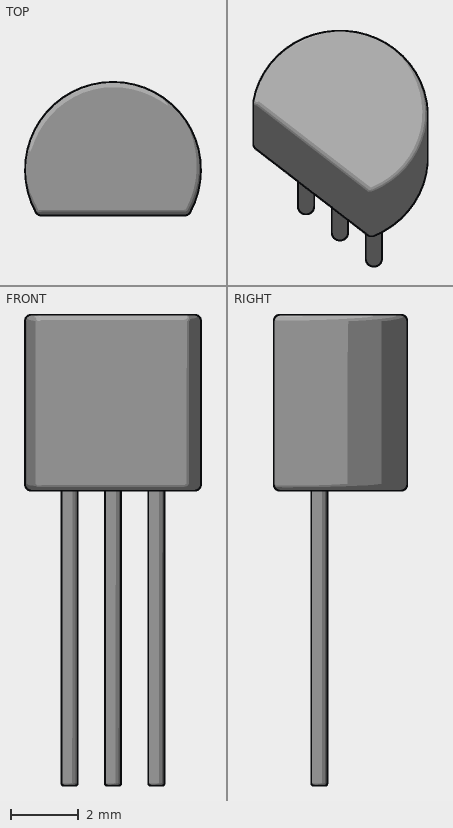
import cadquery as cq
import math

total_height = 13.9
body_height = 5.2
body_radius = 2.6
flat_offset = 1.35
body_fillet = 0.2

pin_diameter = 0.49
pin_pitch = 1.28
pin_count = 3
pin_tip_fillet = 0.08

pin_length = total_height - body_height


def make_body():
    """D-shaped prism with every edge rounded."""
    half_flat = math.sqrt(body_radius**2 - flat_offset**2)
    return (
        cq.Workplane("XY", origin=(0, 0, pin_length))
        .moveTo(half_flat, -flat_offset)
        .threePointArc((0, body_radius), (-half_flat, -flat_offset))
        .close()
        .extrude(body_height)
        .edges()
        .fillet(body_fillet)
    )


def make_pin(x):
    """Round pin with a rounded tip, ending at the underside of the body."""
    return (
        cq.Workplane("XY", origin=(x, 0, 0))
        .circle(pin_diameter / 2)
        .extrude(pin_length)
        .faces("<Z")
        .edges()
        .fillet(pin_tip_fillet)
    )


result = make_body()
for index in range(pin_count):
    pin_x = (index - (pin_count - 1) / 2) * pin_pitch
    result = result.union(make_pin(pin_x))